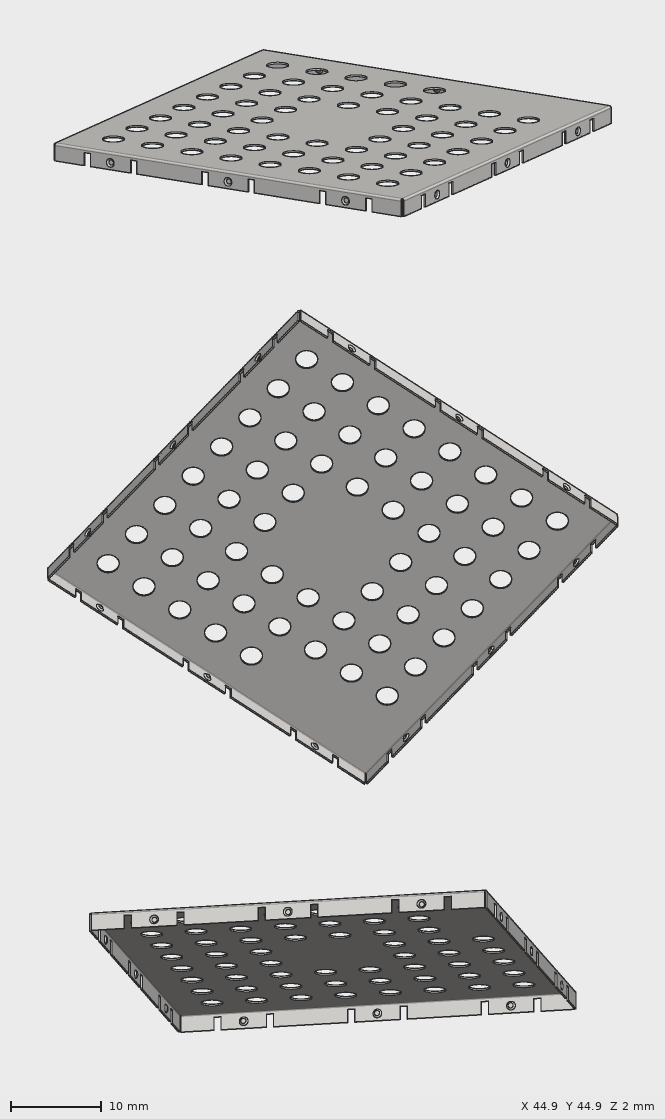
import cadquery as cq

side = 44.85
height = 2.0
sheet = 0.2
bend_radius = 0.25
wall_length = side - 2 * bend_radius

pitch = 5.0
hole_diameter = 2.4
grid_count = 8
blank_centre = (3, 4)
label_row = grid_count - 1
label_columns = (5, 6, 7)

dimple_spacing = 3 * pitch
dimple_centres = (-dimple_spacing, 0, dimple_spacing)
dimple_height = 0.8
dimple_diameter = 1.0
dimple_floor_diameter = 0.6
dimple_depth = 0.2
slot_offset = 2.95
slot_width = 0.8
slot_height = 1.5


def folded_channel():
    """Top strip with the two walls facing -Y and +Y folded down from it."""
    outer = (
        cq.Workplane("XY")
        .box(wall_length, side, height, centered=(True, True, False))
        .edges("|X and >Z")
        .fillet(bend_radius)
    )
    inner = (
        cq.Workplane("XY")
        .box(wall_length, side - 2 * sheet, height - sheet, centered=(True, True, False))
        .edges("|X and >Z")
        .fillet(bend_radius - sheet)
    )
    return outer.cut(inner)


def has_hole(column, row):
    in_centre = column in blank_centre and row in blank_centre
    under_label = row == label_row and column in label_columns
    return not (in_centre or under_label)


def vent_holes():
    first = -pitch * (grid_count - 1) / 2
    centres = [
        (first + column * pitch, first + row * pitch)
        for column in range(grid_count)
        for row in range(grid_count)
        if has_hole(column, row)
    ]
    return cq.Workplane("XY").pushPoints(centres).circle(hole_diameter / 2).extrude(height)


def wall_slots():
    """Slots open at the bottom edge, cut straight through both walls of a channel."""
    centres = [(x + offset, 0) for x in dimple_centres for offset in (-slot_offset, slot_offset)]
    return cq.Workplane("XY").pushPoints(centres).rect(slot_width, side).extrude(slot_height)


def dimple_cones(start_y):
    """Flat-bottomed cones tapering inward from the plane at start_y on the -Y side."""
    cones = cq.Workplane("XY")
    for x in dimple_centres:
        cone = cq.Solid.makeCone(
            dimple_diameter / 2,
            dimple_floor_diameter / 2,
            dimple_depth,
            pnt=cq.Vector(x, start_y, dimple_height),
            dir=cq.Vector(0, 1, 0),
        )
        cones = cones.add(cone)
    return cones.combine()


def channel():
    """Folded channel with slots in both walls and dimples pressed inward."""
    body = folded_channel().cut(wall_slots())
    bulges = dimple_cones(-side / 2 + sheet)
    dents = dimple_cones(-side / 2)
    body = body.union(bulges).union(bulges.mirror("XZ"))
    return body.cut(dents).cut(dents.mirror("XZ"))


walls_y = channel()
walls_x = walls_y.rotate((0, 0, 0), (0, 0, 1), 90)
result = walls_y.union(walls_x).cut(vent_holes())